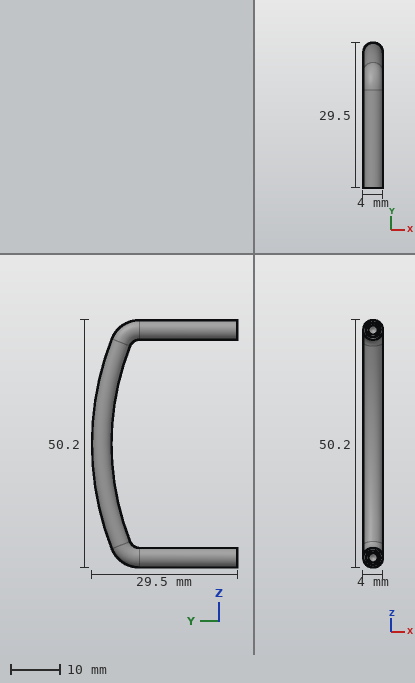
import cadquery as cq
import math

height = 50.2
depth = 29.5
rod_diameter = 4.0
leg_length = 19.9
bend_radius = 4.0
hole_diameter = 1.9
hole_depth = 10.05
drill_tip_angle = math.radians(118)
countersink_diameter = 2.9
countersink_depth = (countersink_diameter - hole_diameter) / 2
tip_length = hole_diameter / 2 / math.tan(drill_tip_angle / 2)

leg_z = (height - rod_diameter) / 2
bow_y = depth - rod_diameter / 2
bend_z = leg_z - bend_radius

bow_rise = bow_y - leg_length
bow_radius = (bow_rise**2 + bend_z**2 - bend_radius**2) / (2 * (bow_rise - bend_radius))
bow_half_angle = math.asin(bend_z / (bow_radius - bend_radius))


def bend_point(angle):
    """Point on the upper corner bend, with the angle measured from +Y."""
    return (
        leg_length + bend_radius * math.cos(angle),
        bend_z + bend_radius * math.sin(angle),
    )


def mirrored(point):
    """The same centreline point on the lower half."""
    return (point[0], -point[1])


def make_rod():
    bend_end = bend_point(bow_half_angle)
    bend_middle = bend_point((bow_half_angle + math.pi / 2) / 2)
    bend_start = (leg_length, leg_z)
    path = (
        cq.Workplane("YZ")
        .moveTo(0, leg_z)
        .lineTo(*bend_start)
        .threePointArc(bend_middle, bend_end)
        .threePointArc((bow_y, 0), mirrored(bend_end))
        .threePointArc(mirrored(bend_middle), mirrored(bend_start))
        .lineTo(0, -leg_z)
    )
    section = cq.Workplane("XZ").center(0, leg_z).circle(rod_diameter / 2)
    return section.sweep(path)


def make_end_hole(z):
    """Countersunk blind hole with a drilled tip, running along +Y from the leg's end face."""
    start = cq.Vector(0, 0, z)
    along_leg = cq.Vector(0, 1, 0)
    bore = cq.Solid.makeCylinder(hole_diameter / 2, hole_depth, start, along_leg)
    countersink = cq.Solid.makeCone(
        countersink_diameter / 2, hole_diameter / 2, countersink_depth, start, along_leg
    )
    tip_start = start + along_leg * hole_depth
    tip = cq.Solid.makeCone(hole_diameter / 2, 0, tip_length, tip_start, along_leg)
    return bore.fuse(countersink, tip)


result = make_rod()
for end_z in (leg_z, -leg_z):
    result = result.cut(cq.Workplane(obj=make_end_hole(end_z)))